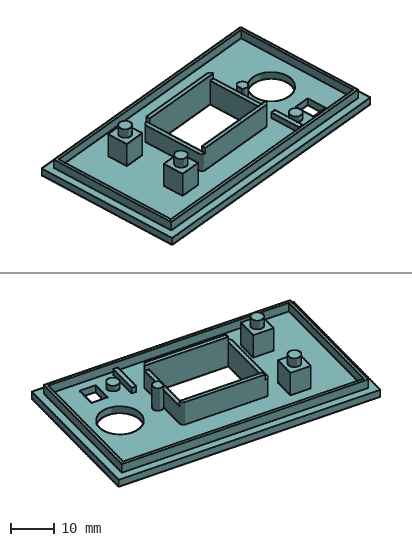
import cadquery as cq

plate_width = 40.0
plate_length = 70.0
plate_thickness = 2.0
rim_inset = 2.0
rim_thickness = 0.8
rim_top = 4.5

window_width = 15.95
window_length = 21.3
side_wall = 1.05
end_wall = 1.1
frame_corner_radius = 1.05
end_wall_top = 7.0
side_wall_top = 8.5
frame_width = window_width + 2 * side_wall
frame_length = window_length + 2 * end_wall

round_hole_diameter = 11.0
round_hole_y = 23.0
small_window_width = 5.45
small_window_length = 4.3
small_window_y = 23.1
right_group_x = 12.0

post_width = 5.75
post_length = 5.45
post_x = 8.55
post_y = -18.7
post_top = side_wall_top
pin_diameter = 3.2
pin_top = 11.0

short_pin_y = 17.9
short_pin_top = 3.65
rib_length = 8.55
rib_thickness = 1.25
rib_y = 14.8
rib_top = 3.65

peg_diameter = 2.7
peg_y = 12.9


def block(width, length, bottom, top, x=0, y=0):
    """Upright block centred on (x, y), between two heights."""
    return cq.Workplane("XY", origin=(x, y, bottom)).rect(width, length).extrude(top - bottom)


def cylinder(diameter, bottom, top, x=0, y=0):
    """Upright cylinder centred on (x, y), between two heights."""
    return cq.Workplane("XY", origin=(x, y, bottom)).circle(diameter / 2).extrude(top - bottom)


def make_rim():
    width = plate_width - 2 * rim_inset
    length = plate_length - 2 * rim_inset
    outer = block(width, length, 0, rim_top)
    inner = block(width - 2 * rim_thickness, length - 2 * rim_thickness, 0, rim_top)
    return outer.cut(inner)


def make_frame():
    """Rounded frame whose end walls are lower than its side walls."""
    frame = block(frame_width, frame_length, 0, side_wall_top)
    frame = frame.edges("|Z").fillet(frame_corner_radius)
    upper_y = (window_length + end_wall) / 2
    frame = frame.cut(block(window_width, end_wall, end_wall_top, side_wall_top, y=upper_y))
    return frame.cut(block(frame_width, end_wall, end_wall_top, side_wall_top, y=-upper_y))


def make_peg():
    """Round peg cut flat where it meets the frame."""
    peg = cylinder(peg_diameter, 0, side_wall_top, y=peg_y)
    return peg.cut(block(frame_width, frame_length, 0, side_wall_top))


result = block(plate_width, plate_length, 0, plate_thickness)
result = result.union(make_rim())
result = result.union(make_frame())
result = result.union(make_peg())

for x in (-post_x, post_x):
    result = result.union(block(post_width, post_length, 0, post_top, x, post_y))
    result = result.union(cylinder(pin_diameter, post_top, pin_top, x, post_y))

result = result.union(cylinder(pin_diameter, 0, short_pin_top, right_group_x, short_pin_y))
result = result.union(block(rib_length, rib_thickness, 0, rib_top, right_group_x, rib_y))

result = result.cut(block(window_width, window_length, 0, side_wall_top))
result = result.cut(cylinder(round_hole_diameter, 0, plate_thickness, y=round_hole_y))
result = result.cut(
    block(small_window_width, small_window_length, 0, plate_thickness, right_group_x, small_window_y)
)